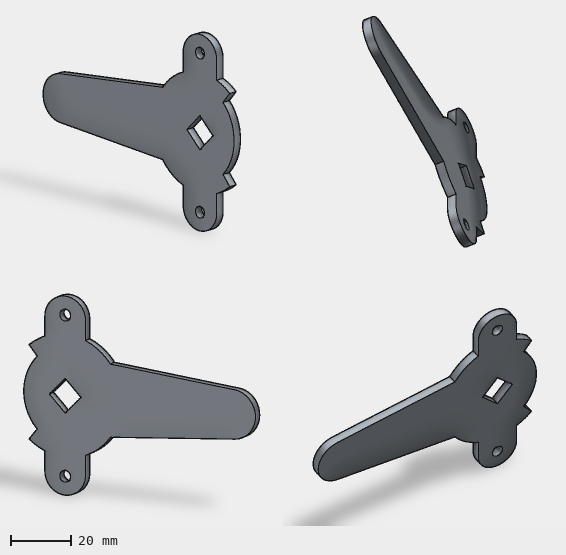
import cadquery as cq
import math

thickness = 3.2
overall_length = 86.5
overall_height = 68.0

hub_radius = 21.0
nose_reach = 15.5
step_angle = math.radians(50)
step_radius = 16.3
square_half_diagonal = 5.9

tab_radius = 7.6
tab_hole_height = 27.5
tab_hole_diameter = 4.0

arm_tip_radius = 8.5
arm_tip_x = nose_reach - overall_length
arm_taper = math.radians(5)
arm_tip_center_x = arm_tip_x + arm_tip_radius


def polar(radius, angle):
    """Point at a radius and angle from the hub centre."""
    return radius * math.cos(angle), radius * math.sin(angle)


def mirrored(point):
    """Reflect a point across the arm centreline."""
    return point[0], -point[1]


def arm_hub_corner():
    """Point where the upper tapered arm edge meets the hub circle."""
    edge_offset = arm_tip_radius - arm_tip_center_x * math.sin(arm_taper)
    normal_angle = math.pi / 2 + arm_taper
    return polar(hub_radius, normal_angle + math.acos(edge_offset / hub_radius))


def make_body():
    """Arm, hub arcs, radial steps and recessed nose as one closed outline."""
    arm_tangent = (
        arm_tip_center_x - arm_tip_radius * math.sin(arm_taper),
        arm_tip_radius * math.cos(arm_taper),
    )
    arm_corner = arm_hub_corner()
    hub_top = (0, hub_radius)
    step_outer = polar(hub_radius, step_angle)
    step_inner = polar(step_radius, step_angle)
    return (
        cq.Workplane("XZ")
        .moveTo(*arm_tangent)
        .lineTo(*arm_corner)
        .threePointArc(hub_top, step_outer)
        .lineTo(*step_inner)
        .threePointArc((nose_reach, 0), mirrored(step_inner))
        .lineTo(*mirrored(step_outer))
        .threePointArc(mirrored(hub_top), mirrored(arm_corner))
        .lineTo(*mirrored(arm_tangent))
        .threePointArc((arm_tip_x, 0), arm_tangent)
        .close()
        .extrude(thickness / 2, both=True)
    )


def make_tabs():
    """One round-ended bar through the hub forms both tabs."""
    return (
        cq.Workplane("XZ")
        .slot2D(overall_height, 2 * tab_radius, 90)
        .extrude(thickness / 2, both=True)
    )


def cut_openings(plate):
    """Diamond-set square drive hole and the two tab holes, all through."""
    return (
        plate.copyWorkplane(cq.Workplane("XZ"))
        .polygon(4, 2 * square_half_diagonal)
        .cutThruAll()
        .copyWorkplane(cq.Workplane("XZ"))
        .pushPoints([(0, tab_hole_height), (0, -tab_hole_height)])
        .circle(tab_hole_diameter / 2)
        .cutThruAll()
    )


result = cut_openings(make_body().union(make_tabs()).clean())